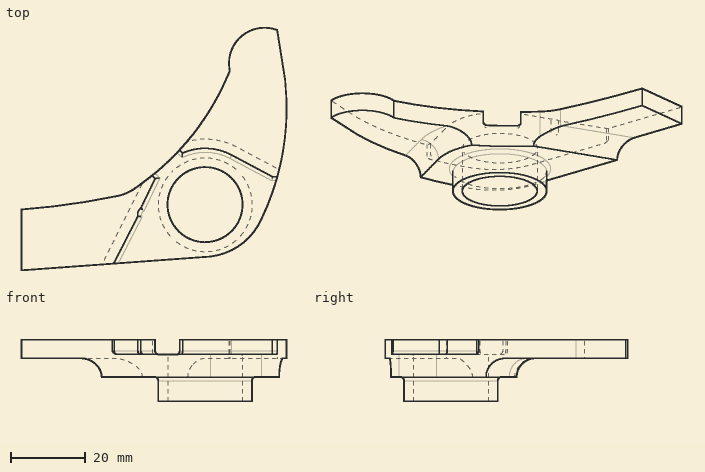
import cadquery as cq
import math

hole_radius = 10.0
boss_radius = 12.5
total_height = 16.5
plate_thickness = 10.0
arm_thickness = plate_thickness / 2
pocket_depth = 4.0
fillet_radius = 1.0

left_wall_angle = 153.5
upper_wall_angle = 62
pocket_wall_radius = 15.0
pocket_arc_end_angle = 113.5
cove_foot_radius = 17.55
cove_radius = plate_thickness - arm_thickness
cutter_reach = 70.8

left_end_x = -49.0
left_end_bottom = (left_end_x, -17.55)
left_end_top = (left_end_x, -1.3)
corner_start = (1.4, -13.9)
corner_end = (15.0, -4.0)
outer_arc_end = (21.4, 33.3)
tip_corner = (19.25, 46.6)
tip_notch = (6.6, 35.6)
inner_arc_end = (-18.1, 4.75)
elbow_end = (-23.35, 2.35)


def polar(radius, angle):
    turn = math.radians(angle)
    return (radius * math.cos(turn), radius * math.sin(turn))


def make_lever_blank():
    """Full-thickness plate with the lever outline."""
    return (
        cq.Workplane("XY")
        .moveTo(*left_end_bottom)
        .lineTo(*corner_start)
        .threePointArc((9.1, -11.0), corner_end)
        .threePointArc((20.7, 13.45), outer_arc_end)
        .lineTo(*tip_corner)
        .threePointArc((8.9, 44.2), tip_notch)
        .threePointArc((-5.65, 15.8), inner_arc_end)
        .threePointArc((-20.4, 3.3), elbow_end)
        .threePointArc((-35.4, 0.2), left_end_top)
        .close()
        .extrude(-plate_thickness)
    )


def cove_profile():
    """Radial section removed under an arm: a quarter-round, then a flat."""
    center_r = cove_foot_radius + cove_radius
    arc_middle = (
        center_r - cove_radius * math.sqrt(0.5),
        -plate_thickness + cove_radius * math.sqrt(0.5),
    )
    return (
        cq.Workplane("XZ")
        .moveTo(cove_foot_radius, -plate_thickness)
        .threePointArc(arc_middle, (center_r, -arm_thickness))
        .lineTo(cutter_reach, -arm_thickness)
        .lineTo(cutter_reach, -plate_thickness)
        .close()
    )


def turn_about_axis(shape, angle):
    return shape.rotate((0, 0, 0), (0, 0, 1), angle)


def make_left_cove():
    straight = cove_profile().extrude(cutter_reach, both=True)
    return turn_about_axis(straight, left_wall_angle)


def make_upper_cove():
    """Cove that curves around the hole and leaves along a tangent."""
    curved_sweep = 73
    curved = cove_profile().revolve(curved_sweep, (0, 0, 0), (0, 1, 0))
    straight = cove_profile().extrude(cutter_reach)
    return turn_about_axis(curved.union(straight), upper_wall_angle)


def make_pocket():
    """Recess around the hole; wall ends turn toward the outline."""
    tangent_point = polar(pocket_wall_radius, upper_wall_angle)
    arc_start = polar(pocket_wall_radius, pocket_arc_end_angle)
    arc_middle = polar(pocket_wall_radius, 90)
    right_bend_x = 18.0
    drop = (right_bend_x - tangent_point[0]) / math.tan(math.radians(upper_wall_angle))
    right_bend = (right_bend_x, tangent_point[1] - drop)
    left_wall_bottom = (-24.2, -15.4)
    end_run = (2.8, 2.1)
    inner_run = 7.1
    notch_start = (-17.9, -3.1)
    notch_middle = (-17.9, -2.1)
    notch_end = (-17.1, -1.0)
    left_wall_top = (-13.3, 6.95)
    side = 42.5
    return (
        cq.Workplane("XY")
        .moveTo(*arc_start)
        .threePointArc(arc_middle, tangent_point)
        .lineTo(*right_bend)
        .lineTo(side, right_bend[1])
        .lineTo(side, -side)
        .lineTo(left_wall_bottom[0] - end_run[0], -side)
        .lineTo(left_wall_bottom[0] - end_run[0], left_wall_bottom[1] - end_run[1])
        .lineTo(*left_wall_bottom)
        .lineTo(*notch_start)
        .threePointArc(notch_middle, notch_end)
        .lineTo(*left_wall_top)
        .lineTo(left_wall_top[0] - inner_run, left_wall_top[1] + inner_run)
        .lineTo(arc_start[0] - inner_run, arc_start[1] + inner_run)
        .close()
        .extrude(-pocket_depth)
        .faces("<Z")
        .edges()
        .fillet(fillet_radius)
    )


def make_boss():
    """Boss below the plate with a concave fillet at its root."""
    bend = fillet_radius * (1 - math.sqrt(0.5))
    root_z = -plate_thickness
    return (
        cq.Workplane("XZ")
        .moveTo(0, root_z)
        .lineTo(boss_radius + fillet_radius, root_z)
        .threePointArc((boss_radius + bend, root_z - bend), (boss_radius, root_z - fillet_radius))
        .lineTo(boss_radius, -total_height)
        .lineTo(0, -total_height)
        .close()
        .revolve(360, (0, 0, 0), (0, 1, 0))
    )


lever = make_lever_blank().cut(make_left_cove()).cut(make_upper_cove()).cut(make_pocket())
hole = cq.Workplane("XY").circle(hole_radius).extrude(-total_height)
result = lever.union(make_boss()).cut(hole)